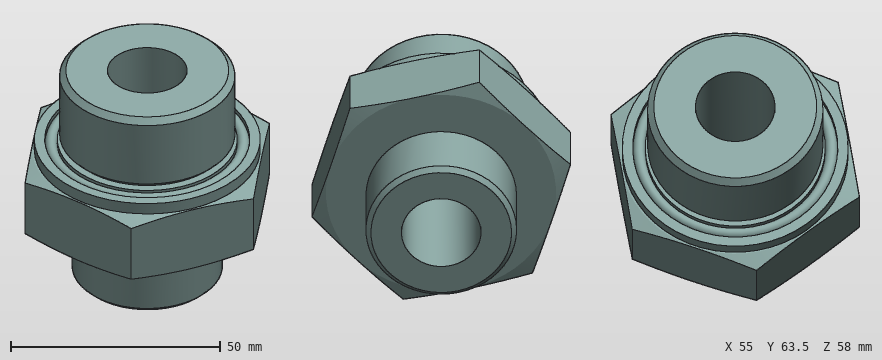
import cadquery as cq
import math

hex_sides = 6
hex_half_side_angle = 180 / hex_sides
hex_across_flats = 55.0
hex_across_corners = hex_across_flats / math.cos(math.radians(hex_half_side_angle))
hex_bottom_z = 18.0
hex_height = 17.0
hex_top_z = hex_bottom_z + hex_height
hex_chamfer_angle = 15.0

lower_stud_diameter = 36.0
lower_stud_chamfer = 1.2

collar_diameter = 54.0
collar_height = 3.0
collar_top_z = hex_top_z + collar_height

upper_stud_diameter = 41.91
upper_stud_height = 20.0
upper_stud_chamfer = 1.5
total_height = collar_top_z + upper_stud_height

seal_groove_inner_diameter = 43.0
seal_groove_outer_diameter = 49.0
seal_section_radius = (seal_groove_outer_diameter - seal_groove_inner_diameter) / 4
seal_center_radius = (seal_groove_outer_diameter + seal_groove_inner_diameter) / 4
seal_center_z = collar_top_z - seal_section_radius

bore_diameter = 19.0


def cylinder(diameter, bottom_z, height):
    return cq.Workplane("XY").workplane(offset=bottom_z).circle(diameter / 2).extrude(height)


def make_hexagon():
    """Hexagonal prism with its corners along Y, both ends chamfered by a cone."""
    prism = (
        cq.Workplane("XY")
        .workplane(offset=hex_bottom_z)
        .polygon(hex_sides, hex_across_corners)
        .extrude(hex_height)
        .rotate((0, 0, 0), (0, 0, 1), hex_half_side_angle)
    )
    inner_radius = hex_across_flats / 2
    outer_radius = hex_across_corners / 2
    drop = (outer_radius - inner_radius) * math.tan(math.radians(hex_chamfer_angle))
    envelope = (
        cq.Workplane("XZ")
        .moveTo(0, hex_bottom_z)
        .lineTo(inner_radius, hex_bottom_z)
        .lineTo(outer_radius, hex_bottom_z + drop)
        .lineTo(outer_radius, hex_top_z - drop)
        .lineTo(inner_radius, hex_top_z)
        .lineTo(0, hex_top_z)
        .close()
        .revolve(360, (0, 0, 0), (0, 1, 0))
    )
    return prism.intersect(envelope)


def make_stud(diameter, bottom_z, height, chamfer):
    """Round stud chamfered at both ends."""
    return cylinder(diameter, bottom_z, height).faces("<Z or >Z").edges().chamfer(chamfer)


def make_collar():
    """Round collar with a ring groove in its upper face, down to the seal's mid-height."""
    groove = (
        cq.Workplane("XY")
        .workplane(offset=seal_center_z)
        .circle(seal_groove_outer_diameter / 2)
        .circle(seal_groove_inner_diameter / 2)
        .extrude(seal_section_radius)
    )
    return cylinder(collar_diameter, hex_top_z, collar_height).cut(groove)


def make_seal_crown():
    """Rounded upper half of the seal ring, filling the groove from wall to wall."""
    inner_radius = seal_groove_inner_diameter / 2
    outer_radius = seal_groove_outer_diameter / 2
    return (
        cq.Workplane("XZ")
        .moveTo(inner_radius, seal_center_z)
        .threePointArc((seal_center_radius, collar_top_z), (outer_radius, seal_center_z))
        .close()
        .revolve(360, (0, 0, 0), (0, 1, 0))
    )


lower_stud = make_stud(lower_stud_diameter, 0, hex_bottom_z, lower_stud_chamfer)
collar = make_collar().union(make_seal_crown())
upper_stud = make_stud(upper_stud_diameter, collar_top_z, upper_stud_height, upper_stud_chamfer)
bore = cylinder(bore_diameter, 0, total_height)
result = make_hexagon().union(lower_stud).union(collar).union(upper_stud).cut(bore)